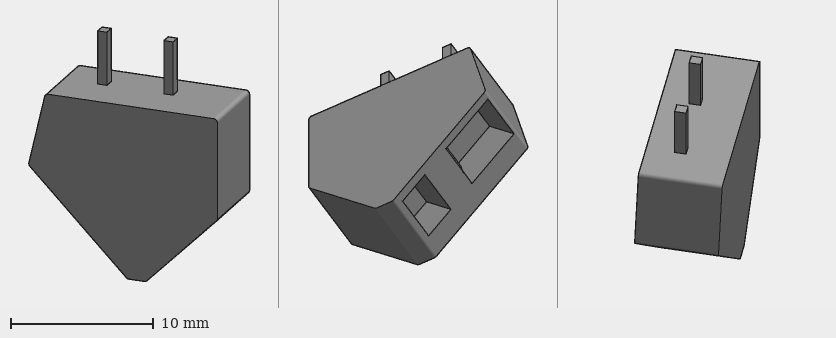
import cadquery as cq
import math

body_width = 14.26
body_depth = 6.0
body_height = 13.0
edge_radius = 0.3
top_left_x = 1.24
left_corner_x = -0.03
left_slope_foot_x = 7.46
right_corner_z = 5.4
back_y = body_depth / 2

overall_height = 17.0
pin_width = 0.7
pin_thickness = 0.82
pin_pitch = 5.0
first_pin_x = 4.28
pin_y = 0.55

pocket_width = 3.67
pocket_depth = 2.79
upper_pocket_bottom_z = 3.95
upper_pocket_top_z = 7.33
upper_pocket_back_wall = 0.61
lower_pocket_bottom_z = 0.4
lower_pocket_top_z = 2.21
lower_pocket_back_wall = 0.66

ledge_bottom_z = 4.4
ledge_top_z = 6.35

left_corner_z = left_slope_foot_x - left_corner_x
right_slope_foot_x = body_width - right_corner_z
left_wall_lean = (top_left_x - left_corner_x) / (body_height - left_corner_z)


def extrude_outline(points, y_back, depth):
    """Extrude an XZ outline from y_back toward -Y."""
    return cq.Workplane("XZ", origin=(0, y_back, 0)).polyline(points).close().extrude(depth)


def slope_point(z):
    """Point on the left slope at height z."""
    return (left_slope_foot_x - z, z)


def sink(point, depth):
    """Move a point into the housing, square to the left slope."""
    step = depth / math.sqrt(2)
    return (point[0] + step, point[1] + step)


def make_body():
    outline = [
        (left_slope_foot_x, 0),
        (right_slope_foot_x, 0),
        (body_width, right_corner_z),
        (body_width, body_height),
        (top_left_x, body_height),
        (left_corner_x, left_corner_z),
    ]
    return extrude_outline(outline, back_y, body_depth).edges("|Y").fillet(edge_radius)


def make_pin(x):
    return (
        cq.Workplane("XY", origin=(x, pin_y, body_height))
        .rect(pin_width, pin_thickness)
        .extrude(overall_height - body_height)
    )


def make_lower_pocket():
    bottom = slope_point(lower_pocket_bottom_z)
    top = slope_point(lower_pocket_top_z)
    outline = [bottom, sink(bottom, pocket_depth), sink(top, pocket_depth), top]
    return extrude_outline(outline, back_y - lower_pocket_back_wall, pocket_width)


def make_upper_pocket():
    bottom = slope_point(upper_pocket_bottom_z)
    top = slope_point(upper_pocket_top_z)
    ledge_bottom = sink(bottom, (ledge_bottom_z - upper_pocket_bottom_z) * math.sqrt(2))
    ledge_run = (ledge_top_z - ledge_bottom_z) * left_wall_lean
    ledge_top = (ledge_bottom[0] + ledge_run, ledge_top_z)
    ledge_top_depth = (sum(ledge_top) - left_slope_foot_x) / math.sqrt(2)
    floor_start = sink(ledge_top, pocket_depth - ledge_top_depth)
    outline = [bottom, ledge_bottom, ledge_top, floor_start, sink(top, pocket_depth), top]
    return extrude_outline(outline, back_y - upper_pocket_back_wall, pocket_width)


result = make_body().cut(make_upper_pocket()).cut(make_lower_pocket())
for pin_index in range(2):
    result = result.union(make_pin(first_pin_x + pin_index * pin_pitch))